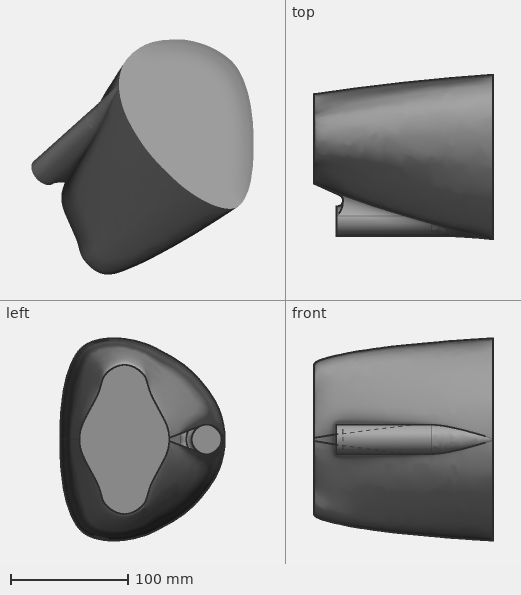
import cadquery as cq
import math

LENGTH = 152.4

SMALL_SIDE = [(38.1, 0), (37, 9), (32.4, 20), (24.7, 34.2), (20.4, 44.8), (15.6, 56)]
SMALL_TOP = (0, 63.5)
SMALL_HALF = SMALL_SIDE + [SMALL_TOP] + [(-y, z) for y, z in reversed(SMALL_SIDE)]
LARGE_HALF = [
    (54.74, 0), (54.5, 13), (53.6, 28), (49.6, 51.8), (41.0, 72.2), (29.5, 82.3),
    (9.7, 86.245),
    (-15.2, 82.3), (-35.2, 73), (-55.8, 59), (-76.2, 34.2), (-84.2, 13), (-85.5, 0),
]
LENGTH_SPANS = 14
OUTLINE_SPANS = 60
SURFACE_TOLERANCE = 0.05
SURFACE_MIN_DEGREE = 3
SURFACE_MAX_DEGREE = 6
HEIGHT_POWER = 0.52
HEIGHT_BULGE = 0.15
WIDTH_BULGE = 0.36

PEG_RADIUS = 12.7
PEG_Y = -70.0
PEG_START = 19.05
PEG_TOP_Y = PEG_Y + PEG_RADIUS
PEG_LOWEST_Y = PEG_Y - PEG_RADIUS
NOSE_START = 100.0
NOSE_TIP_RADIUS = 3.0
NOSE_SPANS = 4

WEB_TIP_Y = SMALL_HALF[-1][0]
WEB_TIP_HALF_WIDTH = 1.2
WEB_PROUD = 0.9
NOTCH_RADIUS = 4.6
NOTCH_DEPTH = 5.6
NOTCH_X = PEG_START + NOTCH_DEPTH
NOTCH_Y = PEG_TOP_Y + NOTCH_RADIUS
LIP_SETBACK = 2.0


def width_blend(s):
    return s + WIDTH_BULGE * s * (1 - s)


def height_blend(s):
    return s ** HEIGHT_POWER + HEIGHT_BULGE * s * (1 - s)


def blend_outlines(small, large, s):
    """Point of a flow line at length fraction s, from its (y, z) at the two ends."""
    y = small[0] + (large[0] - small[0]) * width_blend(s)
    z = small[1] + (large[1] - small[1]) * height_blend(s)
    return cq.Vector(LENGTH * s, y, z)


def smooth_outline(half):
    """Points (y, z) of a smooth half outline, evenly spaced in its parameter."""
    mirrored = [(y, -z) for y, z in reversed(half[1:-1])]
    whole = half + mirrored
    curve = cq.Edge.makeSpline(
        [cq.Vector(0, y, z) for y, z in whole],
        periodic=True,
        parameters=[i / len(whole) for i in range(len(whole) + 1)],
    )
    fractions = [i / OUTLINE_SPANS / 2 for i in range(OUTLINE_SPANS + 1)]
    points = [curve.positionAt(f, mode="parameter") for f in fractions]
    return [(p.y, p.z) for p in points]


def make_body():
    stations = [(i / LENGTH_SPANS) ** 2 for i in range(LENGTH_SPANS + 1)]
    flow_lines = list(zip(smooth_outline(SMALL_HALF), smooth_outline(LARGE_HALF)))
    grid = [[blend_outlines(a, b, s) for a, b in flow_lines] for s in stations]
    skin = cq.Face.makeSplineApprox(
        grid,
        tol=SURFACE_TOLERANCE,
        minDeg=SURFACE_MIN_DEGREE,
        maxDeg=SURFACE_MAX_DEGREE,
    )

    edges = cq.Workplane(skin)
    ends = [edges.edges("<X").val(), edges.edges(">X").val()]
    sides = [edges.edges("<Y").val(), edges.edges(">Y").val()]
    bases = [cq.Edge.makeLine(e.startPoint(), e.endPoint()) for e in ends]
    caps = [
        cq.Face.makeFromWires(cq.Wire.assembleEdges([end, base]))
        for end, base in zip(ends, bases)
    ]
    floor = cq.Face.makeFromWires(cq.Wire.combine(sides + bases)[0])
    upper = cq.Workplane(cq.Solid.makeSolid(cq.Shell.makeShell([skin, floor] + caps)))
    return upper.union(upper.mirror("XY"))


def body_lower_y(x):
    """Y of the body's lowest flow line at position x."""
    return blend_outlines(SMALL_HALF[-1], LARGE_HALF[-1], x / LENGTH).y


def nose_section(t):
    """Circle of the peg's nose, t running from 0 at the straight part to 1 at the tip."""
    radius = PEG_RADIUS + (NOSE_TIP_RADIUS - PEG_RADIUS) * t ** 2
    lowest_y = PEG_LOWEST_Y + (LARGE_HALF[-1][0] - PEG_LOWEST_Y) * t ** 2
    center = cq.Vector(NOSE_START + (LENGTH - NOSE_START) * t, lowest_y + radius, 0)
    return cq.Wire.makeCircle(radius, center, cq.Vector(1, 0, 0))


def make_peg():
    straight = (
        cq.Workplane("YZ", origin=(PEG_START, 0, 0))
        .center(PEG_Y, 0)
        .circle(PEG_RADIUS)
        .extrude(NOSE_START - PEG_START)
    )
    sections = [nose_section(i / NOSE_SPANS) for i in range(NOSE_SPANS + 1)]
    return straight.union(cq.Workplane(cq.Solid.makeLoft(sections)))


def make_web():
    tip_distance = WEB_TIP_Y - PEG_Y
    lean = math.asin((PEG_RADIUS - WEB_TIP_HALF_WIDTH) / tip_distance)
    tangent_y = PEG_Y + PEG_RADIUS * math.sin(lean)
    tangent_z = PEG_RADIUS * math.cos(lean)
    tip_y = WEB_TIP_Y + WEB_TIP_HALF_WIDTH * math.sin(lean)
    tip_z = WEB_TIP_HALF_WIDTH * math.cos(lean)
    wedge = (
        cq.Workplane("YZ")
        .polyline([
            (tip_y, tip_z), (tangent_y, tangent_z), (PEG_Y, tangent_z),
            (PEG_Y, -tangent_z), (tangent_y, -tangent_z), (tip_y, -tip_z),
        ])
        .close()
        .extrude(LENGTH)
    )
    lip_x = PEG_START + LIP_SETBACK
    lip_y = body_lower_y(lip_x) - WEB_PROUD
    profile = (
        cq.Workplane("XY")
        .moveTo(0, 0)
        .lineTo(0, WEB_TIP_Y)
        .lineTo(lip_x, lip_y)
        .threePointArc((NOTCH_X, NOTCH_Y), (NOTCH_X - NOTCH_RADIUS, PEG_TOP_Y))
        .lineTo(PEG_START, PEG_TOP_Y)
        .lineTo(PEG_START, PEG_Y)
        .lineTo(LENGTH, PEG_Y)
        .lineTo(LENGTH, 0)
        .close()
        .extrude(PEG_RADIUS, both=True)
    )
    return wedge.intersect(profile).cut(make_notch_collar())


def make_notch_collar():
    """Ring round the peg's front end that lets the notch wrap round the peg."""
    arc_side = NOTCH_RADIUS * math.sin(math.pi / 4)
    arc_back = NOTCH_RADIUS - arc_side
    arc_foot = (NOTCH_X - NOTCH_RADIUS, PEG_TOP_Y)
    return (
        cq.Workplane("XY")
        .moveTo(NOTCH_X, NOTCH_Y)
        .threePointArc((NOTCH_X - arc_back, NOTCH_Y - arc_side), arc_foot)
        .lineTo(PEG_START, PEG_TOP_Y)
        .lineTo(PEG_START, NOTCH_Y)
        .close()
        .revolve(360, (0, PEG_Y, 0), (1, PEG_Y, 0))
    )


result = make_body().union(make_web()).union(make_peg())